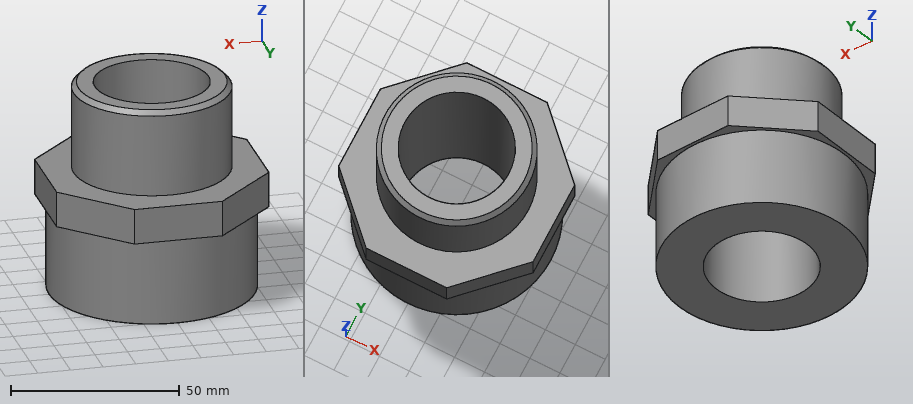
import cadquery as cq
import math

across_flats = 65.0
total_height = 65.0

socket_length = 27.0
lower_diameter = 63.0
upper_diameter = 47.8
rim_chamfer = 1.5

collar_sides = 8
collar_height = total_height - 2 * socket_length
across_corners = across_flats / math.cos(math.pi / collar_sides)
half_side_angle = 180 / collar_sides

bore_diameter = 34.8

lower_socket = cq.Workplane("XY").circle(lower_diameter / 2).extrude(socket_length)

collar = (
    cq.Workplane("XY")
    .workplane(offset=socket_length)
    .polygon(collar_sides, across_corners)
    .extrude(collar_height)
    .rotate((0, 0, 0), (0, 0, 1), half_side_angle)
)

upper_socket = (
    cq.Workplane("XY")
    .workplane(offset=socket_length + collar_height)
    .circle(upper_diameter / 2)
    .extrude(socket_length)
    .faces(">Z")
    .edges()
    .chamfer(rim_chamfer)
)

bore = cq.Workplane("XY").circle(bore_diameter / 2).extrude(total_height)

result = lower_socket.union(collar).union(upper_socket).cut(bore)